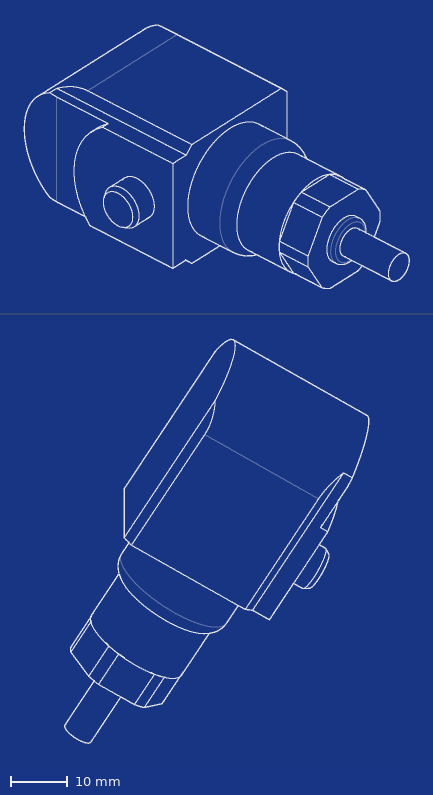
import cadquery as cq
import math

HOUSING_LENGTH = 37.5
HOUSING_HEIGHT = 25.5
EDGE_CHAMFER = 1.5
SHOULDER_DEPTH = 26.5
RECESS_DEPTH = 28.5
PAD_DEPTH = 30.0
NOSE_TAPER_LENGTH = 8.5
NOSE_TAPER_ANGLE = 6.0

PAD_ARC_RADIUS = 15.0
PAD_ARC_X = 29.0
PAD_ARC_Z = -1.3

PIN_X = 29.0
PIN_DIAMETER = 8.2
PIN_LENGTH = 5.0
PIN_TIP_LENGTH = 1.0
PIN_TIP_INSET = 0.6

GLAND_DEPTH = 15.0
SLEEVE_DIAMETER = 22.2
SLEEVE_END = 47.75
SLEEVE_ROUND_RADIUS = 3.0
NECK_DIAMETER = 19.1
NECK_END = 57.8
NUT_ACROSS_FLATS = 17.5
NUT_CORNER_DIAMETER = 19.0
NUT_END = 64.6
COLLAR_DIAMETER = 9.0
COLLAR_END = 66.1
COLLAR_ROUND = 0.6
CABLE_DIAMETER = 5.5
CABLE_END = 77.62

HALF_HEIGHT = HOUSING_HEIGHT / 2
PAD_HALF_HEIGHT = HALF_HEIGHT - EDGE_CHAMFER


def cylinder_along_x(diameter, start, end):
    """Cylinder on the gland axis between two X positions."""
    return (
        cq.Workplane("YZ", origin=(start, -GLAND_DEPTH, 0))
        .circle(diameter / 2)
        .extrude(end - start)
    )


def make_housing():
    """Chamfered cross-section along X, rounded to a half cylinder at the -X end."""
    section = (
        cq.Workplane("YZ")
        .moveTo(0, -PAD_HALF_HEIGHT)
        .lineTo(0, PAD_HALF_HEIGHT)
        .lineTo(-EDGE_CHAMFER, HALF_HEIGHT)
        .lineTo(EDGE_CHAMFER - SHOULDER_DEPTH, HALF_HEIGHT)
        .lineTo(-SHOULDER_DEPTH, PAD_HALF_HEIGHT)
        .lineTo(-PAD_DEPTH, PAD_HALF_HEIGHT)
        .lineTo(-PAD_DEPTH, -PAD_HALF_HEIGHT)
        .lineTo(-SHOULDER_DEPTH, -PAD_HALF_HEIGHT)
        .lineTo(EDGE_CHAMFER - SHOULDER_DEPTH, -HALF_HEIGHT)
        .lineTo(-EDGE_CHAMFER, -HALF_HEIGHT)
        .close()
        .extrude(HOUSING_LENGTH)
    )
    outline = (
        cq.Workplane("XZ")
        .moveTo(HOUSING_LENGTH, HALF_HEIGHT)
        .lineTo(HALF_HEIGHT, HALF_HEIGHT)
        .threePointArc((0, 0), (HALF_HEIGHT, -HALF_HEIGHT))
        .lineTo(HOUSING_LENGTH, -HALF_HEIGHT)
        .close()
        .extrude(PAD_DEPTH)
    )
    return section.intersect(outline)


def make_recess_cut():
    """Material in front of the recessed face, left of the pad's arc."""
    pad_disc = (
        cq.Workplane("XZ", origin=(PAD_ARC_X, -RECESS_DEPTH, PAD_ARC_Z))
        .circle(PAD_ARC_RADIUS)
        .extrude(PAD_DEPTH - RECESS_DEPTH)
    )
    block = (
        cq.Workplane("XZ", origin=(0, -RECESS_DEPTH, 0))
        .moveTo(0, -HALF_HEIGHT)
        .lineTo(PAD_ARC_X, -HALF_HEIGHT)
        .lineTo(PAD_ARC_X, HALF_HEIGHT)
        .lineTo(0, HALF_HEIGHT)
        .close()
        .extrude(PAD_DEPTH - RECESS_DEPTH)
    )
    return block.cut(pad_disc)


def make_nose_cut():
    """Wedge that slopes the recessed face back towards the round end."""
    drop = NOSE_TAPER_LENGTH * math.tan(math.radians(NOSE_TAPER_ANGLE))
    return (
        cq.Workplane("XY", origin=(0, -RECESS_DEPTH, -HALF_HEIGHT))
        .lineTo(0, drop)
        .lineTo(NOSE_TAPER_LENGTH, 0)
        .close()
        .extrude(HOUSING_HEIGHT)
    )


def make_pin():
    """Round pin on the pad with a chamfered tip."""
    return (
        cq.Workplane("XZ", origin=(PIN_X, -PAD_DEPTH, 0))
        .circle(PIN_DIAMETER / 2)
        .extrude(PIN_LENGTH)
        .faces("<Y")
        .chamfer(PIN_TIP_LENGTH, PIN_TIP_INSET)
    )


def make_sleeve_and_neck():
    """Wide sleeve whose end rounds down to the narrower neck."""
    sleeve_radius = SLEEVE_DIAMETER / 2
    neck_radius = NECK_DIAMETER / 2
    arc_center_radius = sleeve_radius - SLEEVE_ROUND_RADIUS
    turn = math.acos((neck_radius - arc_center_radius) / SLEEVE_ROUND_RADIUS)
    round_start = SLEEVE_END - SLEEVE_ROUND_RADIUS * math.sin(turn)
    arc_middle = (
        round_start + SLEEVE_ROUND_RADIUS * math.sin(turn / 2),
        arc_center_radius + SLEEVE_ROUND_RADIUS * math.cos(turn / 2),
    )
    return (
        cq.Workplane("XY", origin=(0, -GLAND_DEPTH, 0))
        .moveTo(HOUSING_LENGTH, 0)
        .lineTo(HOUSING_LENGTH, sleeve_radius)
        .lineTo(round_start, sleeve_radius)
        .threePointArc(arc_middle, (SLEEVE_END, neck_radius))
        .lineTo(NECK_END, neck_radius)
        .lineTo(NECK_END, 0)
        .close()
        .revolve(360, (0, 0, 0), (1, 0, 0))
    )


def make_nut():
    """Hexagon with flats facing +Z and -Z, its corners turned just below the neck."""
    across_corners = NUT_ACROSS_FLATS / math.cos(math.radians(30))
    hexagon = (
        cq.Workplane("YZ", origin=(NECK_END, -GLAND_DEPTH, 0))
        .polygon(6, across_corners)
        .extrude(NUT_END - NECK_END)
    )
    return hexagon.intersect(cylinder_along_x(NUT_CORNER_DIAMETER, NECK_END, NUT_END))


def make_collar():
    """Small collar around the cable with a rounded outer edge."""
    collar = cylinder_along_x(COLLAR_DIAMETER, NUT_END, COLLAR_END)
    return collar.faces(">X").edges().fillet(COLLAR_ROUND)


housing = make_housing().cut(make_recess_cut()).cut(make_nose_cut())
cable = cylinder_along_x(CABLE_DIAMETER, NUT_END, CABLE_END)

result = (
    housing
    .union(make_pin())
    .union(make_sleeve_and_neck())
    .union(make_nut())
    .union(make_collar())
    .union(cable)
)